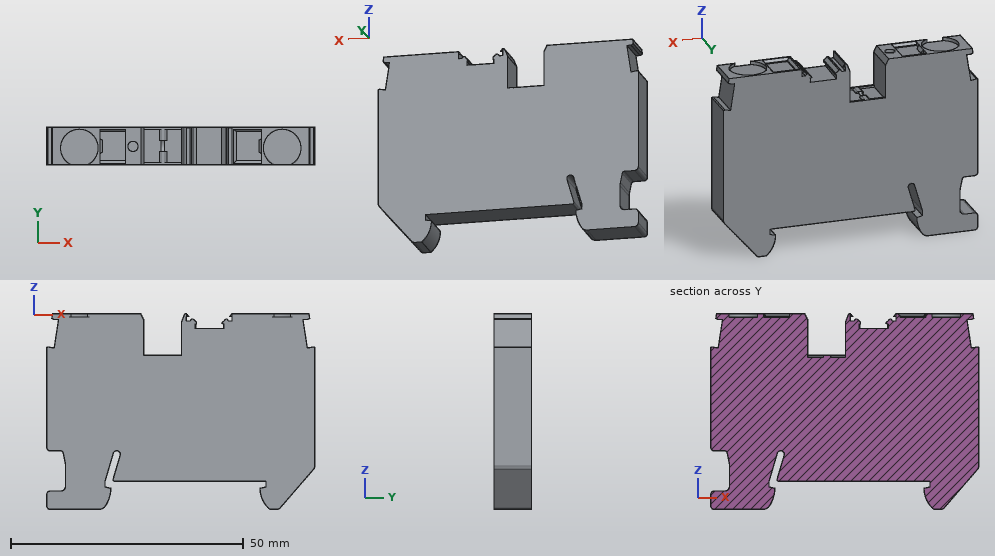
import cadquery as cq
import math

length = 57.8
thickness = 8.15
height = 42.2

foot_round = 0.8
foot_top = 4.0
neck_x = 4.05
neck_bottom_round = 1.0
neck_top_round = 0.5
neck_taper_x = 3.45
neck_taper_bottom = 9.75
neck_bend_round = 3.45
body_bottom = 12.6
foot_sole_end = 11.4
hook_x = 13.9
hook_tip_z = 4.55
hook_ledge_z = 4.85
hook_bow = (13.4, 2.15)
hook_toe = (12.65, 0.7)
hook_toe_bow = (12.15, 0.25)

slot_x = 12.6
slot_bottom = 6.0
slot_width = 1.55
slot_angle = 73.6
slot_round = 0.7
rail_face = 6.05
rail_corner_round = 0.35

rail_end_x = 47.2
fixed_tip_x = 45.95
fixed_sole_start = 48.1
fixed_sole_end = 50.05
fixed_bow = (46.75, 1.55)
flank_top = 8.95
flank_round = 1.15
sole_round = 0.85

shoulder_edge_z = 34.9
shoulder_top = 35.0
shoulder_top_x = 0.35
shoulder_root_x = 1.6
shoulder_root_z = 34.8
flange_root_x = 2.55
flange_bottom = 40.85
flange_tip_x = 1.1
flange_tip_z = 41.15
flange_top_x = 1.3
flange_heel_x = 1.6

window_left = 21.0
window_right = 29.0
window_floor = 33.25
window_bevel_x = 20.3
window_bevel_z = 40.8
ridge_left = 29.75
ridge_round = 0.45
ridge_foot_z = 40.35

ridge_right = 30.1
channel_end = 39.95
groove_z = 40.65
lip_peak_z = 41.05
channel_floor = 39.0
lip_underside = 39.95
channel_left = 32.15
channel_right = 38.1
channel_draft = 0.2
left_lip_start = 30.9
left_lip_peak_start = 31.2
left_lip_peak_end = 31.55
left_lip_tip_x = 32.3
left_lip_tip_z = 40.35
right_lip_tip_x = 37.7
right_lip_tip_z = 40.1
right_lip_peak_start = 38.6
right_lip_peak_end = 38.9
right_lip_end = 39.2
fin_length = 0.5
fin_drop = 0.65
fin_thickness = 0.25

recess_depth = 0.75
screw_x = 7.05
screw_y = 3.65
screw_diameter = 8.1
probe_x = 18.6
probe_y = 4.0
probe_diameter = 2.2
label_front = 0.35
label_back = 7.65
label_slope_front = 0.6
label_slope_back = 0.4
left_label_start = 11.5
left_label_end = 17.0
right_label_start = 40.3
right_label_end = length - left_label_start
right_label_slope = 0.6
label_step = 0.25
wedge_length = 0.6
wedge_half_width = 1.6
wedge_corner = 0.4
wedge_y = 4.05

well_margin = 0.55
well_depth = 0.4
rib_left = 24.3
rib_right = 25.9
rib_core_left = 24.6
rib_core_right = 25.4
rib_round = 0.35
saddle_width = 2.35


def mirrored(points):
    """Mirror outline points to the other end and reverse their order."""
    return [(length - x, z) for x, z in reversed(points)]


def extrude_outline(outline, depth):
    """Extrude an XZ outline from its plane towards +Y."""
    return outline.extrude(-depth)


def box_between(start, end):
    size = [b - a for a, b in zip(start, end)]
    return cq.Workplane("XY").box(*size, centered=False).translate(start)


def round_corners(body, corners, radius):
    """Round the through-thickness edges that stand on the given XZ corners."""
    for x, z in corners:
        edge = cq.selectors.NearestToPointSelector((x, thickness / 2, z))
        body = body.edges("|Y").edges(edge).fillet(radius)
    return body


def make_body():
    shift = (body_bottom - slot_bottom) / math.tan(math.radians(slot_angle))
    slot_top_left = (slot_x + shift, body_bottom)
    slot_top_right = (slot_x + shift + slot_width, body_bottom)
    rail_shift = (rail_face - slot_bottom) / math.tan(math.radians(slot_angle))
    rail_start = (slot_x + slot_width + rail_shift, rail_face)

    end_steps = [
        (0, shoulder_edge_z),
        (shoulder_top_x, shoulder_top),
        (shoulder_root_x, shoulder_root_z),
        (flange_root_x, flange_bottom),
        (flange_heel_x, flange_bottom),
        (flange_tip_x, flange_tip_z),
        (flange_top_x, height),
    ]
    top_edge = [
        (window_bevel_x, height),
        (window_left, window_bevel_z),
        (window_left, window_floor),
        (window_right, window_floor),
        (window_right, ridge_foot_z),
        (ridge_left, height),
        (ridge_right, height),
        (ridge_right, groove_z),
        (left_lip_start, groove_z),
        (left_lip_peak_start, lip_peak_z),
        (left_lip_peak_end, lip_peak_z),
        (left_lip_tip_x, left_lip_tip_z),
        (left_lip_tip_x, lip_underside),
        (channel_left, lip_underside),
        (channel_left, channel_floor),
        (channel_right, channel_floor),
        (channel_right, lip_underside),
        (right_lip_tip_x, right_lip_tip_z),
        (right_lip_peak_start, lip_peak_z),
        (right_lip_peak_end, lip_peak_z),
        (right_lip_end, groove_z),
        (channel_end, groove_z),
        (channel_end, height),
    ]
    outline = (
        cq.Workplane("XZ")
        .moveTo(foot_sole_end, 0)
        .lineTo(0, 0)
        .lineTo(0, foot_top)
        .lineTo(neck_x, foot_top)
        .lineTo(neck_x, neck_taper_bottom)
        .lineTo(neck_taper_x, body_bottom)
        .lineTo(0, body_bottom)
    )
    for point in end_steps + top_edge + mirrored(end_steps):
        outline = outline.lineTo(*point)
    outline = (
        outline.lineTo(length, flank_top)
        .lineTo(fixed_sole_end, 0)
        .lineTo(fixed_sole_start, 0)
        .threePointArc(fixed_bow, (fixed_tip_x, hook_tip_z))
        .lineTo(rail_end_x, hook_ledge_z)
        .lineTo(rail_end_x, rail_face)
        .lineTo(*rail_start)
        .lineTo(*slot_top_right)
        .lineTo(*slot_top_left)
        .lineTo(slot_x, slot_bottom)
        .lineTo(slot_x, hook_ledge_z)
        .lineTo(hook_x, hook_tip_z)
        .threePointArc(hook_bow, hook_toe)
        .threePointArc(hook_toe_bow, (foot_sole_end, 0))
        .close()
    )
    body = extrude_outline(outline, thickness)
    body = round_corners(body, [(0, 0), (0, foot_top), (0, body_bottom)], foot_round)
    body = round_corners(body, [(neck_x, foot_top)], neck_bottom_round)
    body = round_corners(body, [(neck_x, neck_taper_bottom)], neck_bend_round)
    body = round_corners(body, [(neck_taper_x, body_bottom)], neck_top_round)
    body = round_corners(body, [slot_top_left, slot_top_right], slot_round)
    body = round_corners(body, [rail_start], rail_corner_round)
    body = round_corners(body, [(ridge_left, height)], ridge_round)
    body = round_corners(body, [(length, flank_top)], flank_round)
    return round_corners(body, [(fixed_sole_end, 0)], sole_round)


def make_channel_draft():
    """Channel below the lips, widening from the back face to the front face."""
    return cq.Workplane("XY", origin=(0, 0, channel_floor)).polyline([
        (channel_left - channel_draft, 0),
        (channel_right + channel_draft, 0),
        (channel_right, thickness),
        (channel_left, thickness),
    ]).close().extrude(lip_underside - channel_floor)


def make_fin(x, direction):
    """Thin triangular fin at the back of the marker channel."""
    outline = cq.Workplane("XZ", origin=(0, thickness - fin_thickness, 0)).polyline([
        (x, height),
        (x + direction * fin_length, height - fin_drop),
        (x, height - fin_drop),
    ]).close()
    return extrude_outline(outline, fin_thickness)


def make_round_recess(x, y, diameter):
    floor = height - recess_depth
    return cq.Workplane("XY", origin=(x, y, floor)).circle(diameter / 2).extrude(recess_depth)


def make_label_recess(start, end, start_slope, wedge_x, direction):
    """Rectangular recess with walls sloped above a low step and a wedge on one end wall."""
    def rectangle(plane, x0, x1, y0, y1):
        return plane.polyline([(x0, y0), (x1, y0), (x1, y1), (x0, y1)]).close()

    floor = height - recess_depth
    floor_area = (
        start + start_slope, end, label_front + label_slope_front, label_back - label_slope_back,
    )
    step = rectangle(cq.Workplane("XY", origin=(0, 0, floor)), *floor_area).extrude(label_step)
    slopes = rectangle(cq.Workplane("XY", origin=(0, 0, floor + label_step)), *floor_area)
    slopes = slopes.workplane(offset=recess_depth - label_step)
    slopes = rectangle(slopes, start, end, label_front, label_back).loft(ruled=True)
    recess = step.union(slopes)

    tip_x = wedge_x + direction * wedge_length
    tip_half_width = wedge_half_width - wedge_corner
    plan = cq.Workplane("XY", origin=(0, 0, floor)).polyline([
        (wedge_x, wedge_y - wedge_half_width),
        (tip_x, wedge_y - tip_half_width),
        (tip_x, wedge_y + tip_half_width),
        (wedge_x, wedge_y + wedge_half_width),
    ]).close().extrude(recess_depth)
    ramp = cq.Workplane("XZ").polyline([
        (wedge_x, floor), (tip_x, floor), (wedge_x, height),
    ]).close()
    return recess.cut(plan.intersect(extrude_outline(ramp, thickness)))


def make_well():
    """Well in the window floor, minus the rounded rib that crosses it."""
    well_floor = window_floor - well_depth
    well = box_between(
        (window_left, well_margin, well_floor),
        (window_right, thickness - well_margin, window_floor),
    )
    rib = box_between((rib_left, 0, well_floor), (rib_right, thickness, window_floor))
    rib = rib.edges("|Y and >Z").fillet(rib_round)

    saddle_front = (thickness - saddle_width) / 2
    saddle_back = saddle_front + saddle_width
    for x0, x1 in [(rib_left, rib_core_left), (rib_core_right, rib_right)]:
        rib = rib.cut(box_between((x0, saddle_front, well_floor), (x1, saddle_back, window_floor)))
    saddle = (
        cq.Workplane("YZ", origin=(rib_core_left, 0, 0))
        .moveTo(saddle_front, window_floor)
        .threePointArc((thickness / 2, well_floor), (saddle_back, window_floor))
        .close()
        .extrude(rib_core_right - rib_core_left)
    )
    return well.cut(rib).union(saddle)


result = make_body()
result = result.cut(make_channel_draft())
result = result.union(make_fin(ridge_right, 1)).union(make_fin(channel_end, -1))
for x in (screw_x, length - screw_x):
    result = result.cut(make_round_recess(x, screw_y, screw_diameter))
result = result.cut(make_round_recess(probe_x, probe_y, probe_diameter))
result = result.cut(make_label_recess(left_label_start, left_label_end, 0, left_label_start, 1))
result = result.cut(make_label_recess(
    right_label_start, right_label_end, right_label_slope, right_label_end, -1,
))
result = result.cut(make_well())